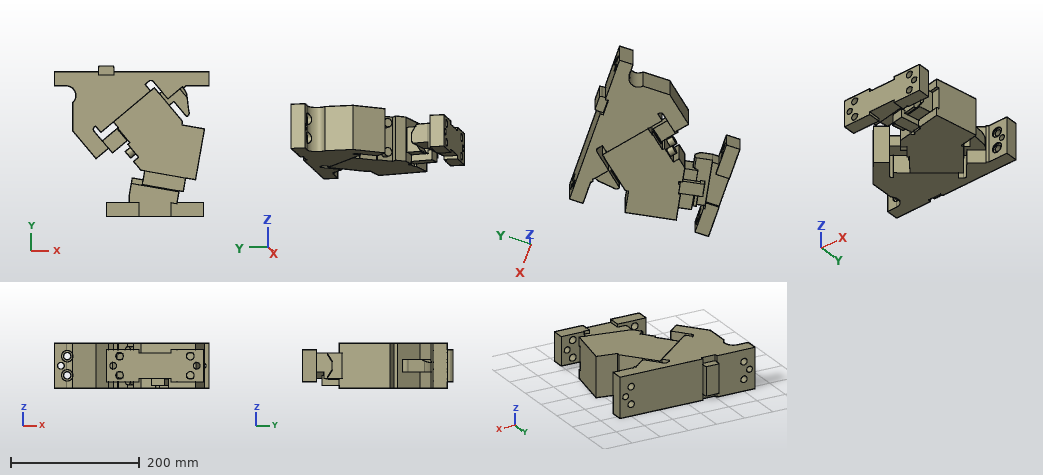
import cadquery as cq
import math


unit_length = 240.0
unit_height = 70.0
half_height = unit_height / 2
tall = 2 * unit_height

slide_angle = 40.0
slide_origin = (92.2, 147.4)
drive_angle = 10.0
drive_origin = (116.0, 33.0)

holder_back = 225.0
plate_thickness = 22.3
plate_front = holder_back - plate_thickness
relief_radius = 14.6
relief_center = (18.5, 188.0)
arm_side_x = 28.3
arm_outer_u = -58.0
arm_inner_u = -33.0
arm_end_w = 26.5
jaw_end_w = 27.0
arm_groove_u = -26.2
groove_depth = 13.0
groove_round = 4.8
jaw_groove_u = 74.5
jaw_u = 87.0
jaw_end_u = 116.6
jaw_step = 2.6

screw_inset = 20.0
dowel_inset = 10.0
screw_z = 15.0
screw_hole = 11.0
screw_counterbore = 17.8
counterbore_depth = 2.5
dowel_hole = 10.0

key_left = 68.2
key_width = 24.5
key_height = 50.0
key_back = 234.0
key_depth = 5.0
key_lead_length = 3.4
key_lead_width = 1.0

base_center_x = 156.0
base_length = 150.7
base_thickness = 22.3
base_height = 50.0
waist_length = 49.2
core_height = 39.5
core_bottom_z = -core_height / 2
base_screw_offset = 55.0
base_dowel_offset = 64.8
base_screw_hole = 11.8
base_dowel_hole = 10.3

ridge_length = 75.4
ridge_b = 27.5
ridge_edge_b = 18.7
ridge_flat = 13.0
lip_top_z = -9.8
lip_start = 45.5
lip_b = 13.7

nose_start_u = -0.7
nose_end_u = 82.0
nose_right_w = 68.2
front_b = 41.5
slider_end_a = 97.5
shoulder = (62.0, 122.0)
heel_u = -16.3
heel_w = 67.0
spring_face_u = -6.0
spring_face_w = 40.8
side_face_u = -2.0
side_face_w = 11.8

channel_start = 17.0
channel_depth = 4.8
shoe_end = 81.8
shoe_tip_b = 20.2

pad_height = 37.5
pad_face_u = -3.0
stop_start_w = 11.3
stop_end_w = 36.0
stop_height = 20.2

bolt_diameter = 13.5
bolt_length = 10.3
bolt_w = 53.5
bolt_z = 23.0

hook_height = 20.2
hook_neck_w = (12.0, 36.0)
hook_side_u = 116.2
hook_curve = [(115.7, 34.3), (114.0, 40.5)]
hook_tip = [(99.8, 62.2), (95.8, 66.7)]
hook_finger_u = 91.5
hook_chamfer = 5.0

claw_start = 34.0
claw_end = 54.5
claw_top_z = -20.6
claw_bottom_z = -31.0
claw_front_b = 6.7
claw_foot_b = 13.5
claw_foot_z = -15.0
claw_seat_depth = 3.0
claw_seat_relief = 3.0


def slide_point(u, w):
    angle = math.radians(slide_angle)
    x = slide_origin[0] + u * math.cos(angle) + w * math.sin(angle)
    y = slide_origin[1] + u * math.sin(angle) - w * math.cos(angle)
    return (x, y)


def drive_point(a, b):
    angle = math.radians(drive_angle)
    x = drive_origin[0] + a * math.cos(angle) + b * math.sin(angle)
    y = drive_origin[1] - a * math.sin(angle) + b * math.cos(angle)
    return (x, y)


def drive_coordinate_b(point):
    """The b coordinate of an (x, y) point."""
    angle = math.radians(drive_angle)
    x = point[0] - drive_origin[0]
    y = point[1] - drive_origin[1]
    return x * math.sin(angle) + y * math.cos(angle)


def prism(points, z_low, z_high):
    """Straight-sided outline raised from z_low to z_high."""
    return cq.Workplane("XY").workplane(offset=z_low).polyline(points).close().extrude(z_high - z_low)


def slide_box(u_range, w_range, z_low, z_high):
    (u0, u1), (w0, w1) = u_range, w_range
    corners = [(u0, w0), (u1, w0), (u1, w1), (u0, w1)]
    return prism([slide_point(u, w) for u, w in corners], z_low, z_high)


def drive_box(a_range, b_range, z_low, z_high):
    (a0, a1), (b0, b1) = a_range, b_range
    corners = [(a0, b0), (a1, b0), (a1, b1), (a0, b1)]
    return prism([drive_point(a, b) for a, b in corners], z_low, z_high)


def y_cylinders(places, diameter, y_start, length):
    """Cylinders along +Y from y_start at the given (x, z) places."""
    plane = cq.Plane(origin=(0, y_start, 0), xDir=(1, 0, 0), normal=(0, -1, 0))
    return cq.Workplane(plane).pushPoints(places).circle(diameter / 2).extrude(-length)


def v_ridge(length):
    """Bar with the V section of the ridge, standing on the plane b = 0 from a = 0 onwards."""
    x, y = drive_origin
    angle = math.radians(drive_angle)
    along = (math.cos(angle), -math.sin(angle), 0)
    across = (math.sin(angle), math.cos(angle), 0)
    plane = cq.Plane(origin=(x, y, 0), xDir=across, normal=along)
    section = [
        (0, -core_height / 2),
        (ridge_edge_b, -core_height / 2),
        (ridge_b, -ridge_flat / 2),
        (ridge_b, ridge_flat / 2),
        (ridge_edge_b, core_height / 2),
        (0, core_height / 2),
    ]
    return cq.Workplane(plane).polyline(section).close().extrude(length)


def holder_outline():
    slope = math.tan(math.radians(90 - slide_angle))
    relief_x, relief_y = relief_center
    relief_exit = relief_y - math.sqrt(relief_radius**2 - (arm_side_x - relief_x) ** 2)
    arm_tip = slide_point(arm_outer_u, arm_end_w)
    arm_corner_y = arm_tip[1] + (arm_tip[0] - arm_side_x) * slope
    jaw_step_end = slide_point(jaw_end_u, jaw_end_w + jaw_step)
    jaw_foot_x = jaw_step_end[0] + (plate_front - jaw_step_end[1]) * slope
    bend = groove_round * (1 - math.sqrt(0.5))
    return (
        cq.Workplane("XY")
        .workplane(offset=-half_height)
        .moveTo(0, holder_back)
        .lineTo(0, plate_front)
        .lineTo(relief_x, plate_front)
        .threePointArc((relief_x + relief_radius, relief_y), (arm_side_x, relief_exit))
        .lineTo(arm_side_x, arm_corner_y)
        .lineTo(*arm_tip)
        .lineTo(*slide_point(arm_inner_u, arm_end_w))
        .lineTo(*slide_point(arm_inner_u, groove_round - groove_depth))
        .threePointArc(
            slide_point(arm_inner_u + bend, bend - groove_depth),
            slide_point(arm_inner_u + groove_round, -groove_depth),
        )
        .lineTo(*slide_point(arm_groove_u, -groove_depth))
        .lineTo(*slide_point(arm_groove_u, 0))
        .lineTo(*slide_point(jaw_groove_u, 0))
        .lineTo(*slide_point(jaw_groove_u, -groove_depth))
        .lineTo(*slide_point(jaw_u - groove_round, -groove_depth))
        .threePointArc(
            slide_point(jaw_u - bend, bend - groove_depth),
            slide_point(jaw_u, groove_round - groove_depth),
        )
        .lineTo(*slide_point(jaw_u, jaw_end_w))
        .lineTo(*slide_point(jaw_end_u, jaw_end_w))
        .lineTo(*jaw_step_end)
        .lineTo(jaw_foot_x, plate_front)
        .lineTo(unit_length, plate_front)
        .lineTo(unit_length, holder_back)
        .close()
    )


def make_key():
    key_right = key_left + key_width
    shoulder_y = key_back - key_lead_length
    outline = [
        (key_left, holder_back - key_depth),
        (key_right, holder_back - key_depth),
        (key_right, shoulder_y),
        (key_right - key_lead_width, key_back),
        (key_left + key_lead_width, key_back),
        (key_left, shoulder_y),
    ]
    return prism(outline, -key_height / 2, key_height / 2)


def make_holder():
    body = holder_outline().extrude(unit_height)
    seat = cq.Workplane("XY").box(key_width, 2 * key_depth, tall)
    body = body.cut(seat.translate((key_left + key_width / 2, holder_back, 0)))

    screw_x = (screw_inset, unit_length - screw_inset)
    screws = [(x, z) for x in screw_x for z in (-screw_z, screw_z)]
    dowels = [(x, 0) for x in (dowel_inset, unit_length - dowel_inset)]
    bore_start = plate_front - relief_radius
    bore_length = relief_radius + counterbore_depth
    body = body.cut(y_cylinders(screws, screw_hole, bore_start, tall))
    body = body.cut(y_cylinders(screws, screw_counterbore, bore_start, bore_length))
    body = body.cut(y_cylinders(dowels, dowel_hole, bore_start, tall))
    return body.union(make_key())


def make_driver():
    waist_right = base_center_x + waist_length / 2
    core_half = core_height / 2

    base = cq.Workplane("XY").box(base_length, base_thickness, base_height, centered=(True, False, True))
    base = base.translate((base_center_x, 0, 0))
    waist = cq.Workplane("XY").box(waist_length, 2 * base_thickness, tall)
    waist = waist.translate((base_center_x, 0, 0))
    base = base.cut(waist)
    base = base.cut(drive_box((0, ridge_length), (0, ridge_b), -half_height, half_height))

    core_right = drive_point(ridge_length, 0)
    core = prism(
        [
            (drive_origin[0], 0),
            (waist_right, 0),
            core_right,
            drive_origin,
        ],
        -core_half,
        core_half,
    )
    ridge = v_ridge(ridge_length)
    ridge = ridge.cut(drive_box((0, ridge_length), (0, lip_b), -half_height, lip_top_z))
    ridge = ridge.cut(drive_box((0, lip_start), (0, ridge_b), -half_height, lip_top_z))

    sides = (-1, 1)
    screws = [(base_center_x + s * base_screw_offset, t * screw_z) for s in sides for t in sides]
    dowels = [(base_center_x + s * base_dowel_offset, 0) for s in sides]
    body = base.union(core).union(ridge)
    body = body.cut(y_cylinders(screws, base_screw_hole, 0, base_thickness))
    return body.cut(y_cylinders(dowels, base_dowel_hole, 0, base_thickness))


def slider_block():
    heel_fall = math.cos(math.radians(slide_angle + drive_angle))
    heel_length = (drive_coordinate_b(slide_point(heel_u, heel_w)) - front_b) / heel_fall
    outline = [
        slide_point(nose_start_u, 0),
        slide_point(nose_end_u, 0),
        slide_point(nose_end_u, nose_right_w),
        drive_point(*shoulder),
        drive_point(slider_end_a, shoulder[1]),
        drive_point(slider_end_a, front_b),
        slide_point(heel_u, heel_w + heel_length),
        slide_point(heel_u, heel_w),
        slide_point(spring_face_u, heel_w),
        slide_point(spring_face_u, spring_face_w),
        slide_point(side_face_u, spring_face_w),
        slide_point(side_face_u, side_face_w),
        slide_point(nose_start_u, side_face_w),
    ]
    return prism(outline, -half_height, half_height)


def front_channel():
    depth = (front_b, front_b + channel_depth)
    return drive_box((channel_start, slider_end_a), depth, core_bottom_z, -core_bottom_z)


def v_shoe():
    """Shoe seated in the channel, with a V groove that rides on the ridge of the driver."""
    depth = (shoe_tip_b, front_b + channel_depth)
    shoe = drive_box((channel_start, shoe_end), depth, core_bottom_z, -core_bottom_z)
    return shoe.cut(v_ridge(shoe_end))


def stop_pad():
    return slide_box((pad_face_u, 0), (side_face_w, stop_end_w), -pad_height / 2, pad_height / 2)


def stop_block():
    return slide_box((arm_inner_u, 0), (stop_start_w, stop_end_w), -stop_height / 2, stop_height / 2)


def bolts():
    angle = math.radians(slide_angle)
    x, y = slide_point(spring_face_u, bolt_w)
    outward = (-math.cos(angle), -math.sin(angle), 0)
    plane = cq.Plane(origin=(x, y, 0), xDir=(0, 0, 1), normal=outward)
    places = [(-bolt_z, 0), (bolt_z, 0)]
    return cq.Workplane(plane).pushPoints(places).circle(bolt_diameter / 2).extrude(bolt_length)


def hook():
    neck_start, neck_end = hook_neck_w
    blank = (
        cq.Workplane("XY")
        .workplane(offset=-hook_height / 2)
        .moveTo(*slide_point(nose_end_u, neck_start))
        .lineTo(*slide_point(jaw_u, neck_start))
        .lineTo(*slide_point(jaw_u, jaw_end_w))
        .lineTo(*slide_point(hook_side_u, jaw_end_w))
        .threePointArc(slide_point(*hook_curve[0]), slide_point(*hook_curve[1]))
        .lineTo(*slide_point(*hook_tip[0]))
        .threePointArc(slide_point(*hook_tip[1]), slide_point(hook_finger_u, hook_tip[1][1]))
        .lineTo(*slide_point(hook_finger_u, neck_end))
        .lineTo(*slide_point(nose_end_u, neck_end))
        .close()
        .extrude(hook_height)
    )
    return blank.cut(hook_chamfer_wedge())


def hook_chamfer_wedge():
    """Wedge along w that bevels the upper outer edge of the hook."""
    angle = math.radians(slide_angle)
    along_u = (math.cos(angle), math.sin(angle), 0)
    along_w = (math.sin(angle), -math.cos(angle), 0)
    plane = cq.Plane(origin=(*slide_origin, 0), xDir=along_u, normal=along_w)
    top = hook_height / 2
    section = [
        (hook_side_u - hook_chamfer, top),
        (hook_side_u + hook_chamfer, top),
        (hook_side_u + hook_chamfer, top - 2 * hook_chamfer),
    ]
    return cq.Workplane(plane).polyline(section).close().extrude(tall)


def claw():
    width = (claw_start, claw_end)
    arm = drive_box(width, (claw_front_b, front_b + claw_seat_depth), claw_bottom_z, claw_top_z)
    foot = drive_box(width, (claw_front_b, claw_foot_b), claw_top_z, claw_foot_z)
    return arm.union(foot)


def claw_seat():
    seat_floor_b = front_b + claw_seat_depth
    seat = drive_box((claw_start, claw_end), (front_b, seat_floor_b), -half_height, core_bottom_z)
    x, y = drive_point(claw_start + claw_seat_relief, seat_floor_b)
    relief = cq.Workplane("XY").workplane(offset=-half_height).center(x, y).circle(claw_seat_relief)
    return seat.union(relief.extrude(half_height + core_bottom_z))


def make_slider():
    body = slider_block().cut(front_channel()).cut(claw_seat())
    for feature in (v_shoe(), stop_pad(), stop_block(), bolts(), hook(), claw()):
        body = body.union(feature)
    return body


holder = make_holder()
slider = make_slider()
driver = make_driver()

result = cq.Compound.makeCompound([body.solids().val() for body in (holder, slider, driver)])